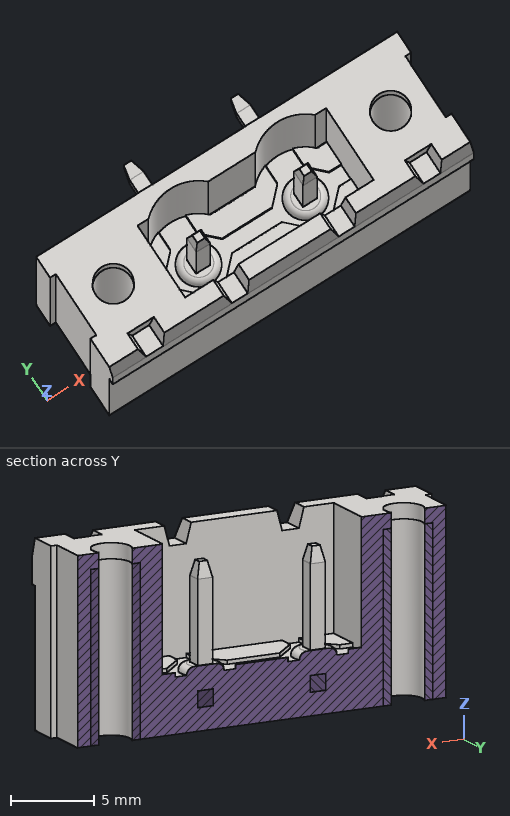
import cadquery as cq
import math

WIDTH = 25.82
HEIGHT = 12.0
BACK_Y = 8.52
FRONT_Y = 0.4

LIP_HEIGHT = 3.0
BEVEL_HEIGHT = 1.3

SIDE_CHANNEL_DEPTH = 0.41
SIDE_CHANNEL_FRONT_Y = 2.48
SIDE_CHANNEL_BACK_Y = 6.97

AXIS_Y = 4.6
PIN_X = 3.82
MOUNT_X = 9.91

POCKET_HALF_WIDTH = 6.75
POCKET_FRONT_Y = 1.55
POCKET_BACK_Y = 6.85
LOBE_RADIUS = 3.1
FLOOR_Z = 3.61

PAD_HEIGHT = 0.25
PAD_BACK_GAP = 0.08
DIAMOND_HALF_DIAGONAL = 2.58
CROSS_CHANNEL_WIDTH = 1.08
REAR_CHANNEL_WIDTH = 1.94

BOSS_DIAMETER = 2.8
BOSS_HEIGHT = 0.5

NOTCH_DEPTH = BEVEL_HEIGHT
PIN_NOTCH_TOP = 1.8
PIN_NOTCH_BOTTOM = 1.14
MOUNT_NOTCH_TOP = 1.88
MOUNT_NOTCH_BOTTOM = 1.21

PIN_SIZE = 1.0
PIN_TIP_SIZE = 0.55
PIN_TAPER = 1.0
PIN_TOP_Z = 10.5
PIN_TAIL_Y = 12.5
PIN_TAIL_Z = 2.01

BORE_DIAMETER = 2.5
INSERT_DIAMETER = 3.5
INSERT_TOP_Z = HEIGHT - 1.0


def box(x_min, x_max, y_min, y_max, z_min, z_max):
    """Box between two opposite corners."""
    size = (x_max - x_min, y_max - y_min, z_max - z_min)
    return cq.Workplane("XY").box(*size, centered=False).translate((x_min, y_min, z_min))


def cylinder(x, diameter, z_min, z_max):
    """Upright cylinder on the row of contact and mounting centres."""
    base = cq.Workplane("XY", origin=(x, AXIS_Y, z_min))
    return base.circle(diameter / 2).extrude(z_max - z_min)


def make_block():
    """Solid block with the bevelled lip and the two end channels."""
    side_outline = [
        (FRONT_Y, 0),
        (FRONT_Y, HEIGHT - LIP_HEIGHT),
        (0, HEIGHT - LIP_HEIGHT),
        (0, HEIGHT - BEVEL_HEIGHT),
        (FRONT_Y, HEIGHT),
        (BACK_Y, HEIGHT),
        (BACK_Y, 0),
    ]
    block = cq.Workplane("YZ").polyline(side_outline).close().extrude(WIDTH / 2, both=True)
    channel_length = SIDE_CHANNEL_BACK_Y - SIDE_CHANNEL_FRONT_Y
    channel_centre_y = (SIDE_CHANNEL_BACK_Y + SIDE_CHANNEL_FRONT_Y) / 2
    for x in (-WIDTH / 2, WIDTH / 2):
        channel = cq.Workplane("XY", origin=(x, channel_centre_y, 0))
        block = block.cut(channel.rect(2 * SIDE_CHANNEL_DEPTH, channel_length).extrude(HEIGHT))
    return block


def pocket_prism(back_y, z_min, z_max):
    """Pocket-shaped prism: a rectangle with a round lobe behind each pin."""
    half_chord = math.sqrt(LOBE_RADIUS**2 - (back_y - AXIS_Y) ** 2)
    lobe_top_y = AXIS_Y + LOBE_RADIUS
    outline = (
        cq.Workplane("XY", origin=(0, 0, z_min))
        .moveTo(-POCKET_HALF_WIDTH, POCKET_FRONT_Y)
        .lineTo(-POCKET_HALF_WIDTH, back_y)
    )
    for x in (-PIN_X, PIN_X):
        outline = outline.lineTo(x - half_chord, back_y)
        outline = outline.threePointArc((x, lobe_top_y), (x + half_chord, back_y))
    outline = outline.lineTo(POCKET_HALF_WIDTH, back_y).lineTo(POCKET_HALF_WIDTH, POCKET_FRONT_Y)
    return outline.close().extrude(z_max - z_min)


def make_floor_pads():
    """Pads covering the pocket floor except for the channels around and between the pins."""
    z_range = (FLOOR_Z, FLOOR_Z + PAD_HEIGHT)
    half_cross = CROSS_CHANNEL_WIDTH / 2
    half_rear = REAR_CHANNEL_WIDTH / 2
    half_front = PIN_NOTCH_BOTTOM / 2
    pads = pocket_prism(POCKET_BACK_Y - PAD_BACK_GAP, *z_range)
    pads = pads.cut(
        box(-POCKET_HALF_WIDTH, POCKET_HALF_WIDTH, AXIS_Y - half_cross, AXIS_Y + half_cross, *z_range)
    )
    diamond_side = DIAMOND_HALF_DIAGONAL * math.sqrt(2)
    for x in (-PIN_X, PIN_X):
        diamond = cq.Workplane("XY").rect(diamond_side, diamond_side).extrude(PAD_HEIGHT)
        diamond = diamond.rotate((0, 0, 0), (0, 0, 1), 45).translate((x, AXIS_Y, FLOOR_Z))
        pads = pads.cut(diamond)
        pads = pads.cut(box(x - half_rear, x + half_rear, AXIS_Y, BACK_Y, *z_range))
        pads = pads.cut(box(x - half_front, x + half_front, POCKET_FRONT_Y, AXIS_Y, *z_range))
    return pads


def make_boss(x):
    """Round boss on the pocket floor with a rounded upper edge."""
    outer = BOSS_DIAMETER / 2
    flat = outer - BOSS_HEIGHT
    middle = BOSS_HEIGHT * math.sqrt(0.5)
    profile = (
        cq.Workplane("XZ")
        .lineTo(outer, 0)
        .threePointArc((flat + middle, middle), (flat, BOSS_HEIGHT))
        .lineTo(0, BOSS_HEIGHT)
        .close()
    )
    return profile.revolve(360, (0, 0, 0), (0, 1, 0)).translate((x, AXIS_Y, FLOOR_Z))


def make_notch(x, top_width, bottom_width):
    """Tapered notch through the lip and the front wall, open at the top."""
    bottom_z = HEIGHT - NOTCH_DEPTH
    outline = [
        (x - top_width / 2, HEIGHT),
        (x - bottom_width / 2, bottom_z),
        (x + bottom_width / 2, bottom_z),
        (x + top_width / 2, HEIGHT),
    ]
    return cq.Workplane("XZ").polyline(outline).close().extrude(-POCKET_FRONT_Y)


def tapered_tip(plane):
    """Square taper from the full pin size to the tip size, along the plane's normal."""
    base = cq.Workplane(plane).rect(PIN_SIZE, PIN_SIZE)
    return base.workplane(offset=PIN_TAPER).rect(PIN_TIP_SIZE, PIN_TIP_SIZE).loft()


def make_pin(x):
    """Right-angle square pin: contact pointing up, solder tail pointing back, both tapered."""
    half = PIN_SIZE / 2
    contact_end_z = PIN_TOP_Z - PIN_TAPER
    tail_end_y = PIN_TAIL_Y - PIN_TAPER
    bottom_z = PIN_TAIL_Z - half
    contact = box(x - half, x + half, AXIS_Y - half, AXIS_Y + half, bottom_z, contact_end_z)
    tail = box(x - half, x + half, AXIS_Y - half, tail_end_y, bottom_z, PIN_TAIL_Z + half)
    contact_tip = tapered_tip(cq.Plane((x, AXIS_Y, contact_end_z), (1, 0, 0), (0, 0, 1)))
    tail_tip = tapered_tip(cq.Plane((x, tail_end_y, PIN_TAIL_Z), (1, 0, 0), (0, 1, 0)))
    return contact.union(tail).union(contact_tip).union(tail_tip)


def make_insert(x):
    """Round sleeve in the lower part of a mounting hole, with the same bore as the hole."""
    sleeve = cylinder(x, INSERT_DIAMETER, 0, INSERT_TOP_Z)
    return sleeve.cut(cylinder(x, BORE_DIAMETER, 0, INSERT_TOP_Z))


def make_housing(pins):
    """Housing with the pocket, notches, mounting holes and a matching hole for each pin."""
    housing = make_block().cut(pocket_prism(POCKET_BACK_Y, FLOOR_Z, HEIGHT))
    housing = housing.union(make_floor_pads())
    for x in (-PIN_X, PIN_X):
        housing = housing.union(make_boss(x))
        housing = housing.cut(make_notch(x, PIN_NOTCH_TOP, PIN_NOTCH_BOTTOM))
    for x in (-MOUNT_X, MOUNT_X):
        housing = housing.cut(make_notch(x, MOUNT_NOTCH_TOP, MOUNT_NOTCH_BOTTOM))
        housing = housing.cut(cylinder(x, BORE_DIAMETER, 0, HEIGHT))
        housing = housing.cut(cylinder(x, INSERT_DIAMETER, 0, INSERT_TOP_Z))
    for pin in pins:
        housing = housing.cut(pin)
    return housing


pins = [make_pin(x) for x in (-PIN_X, PIN_X)]
inserts = [make_insert(x) for x in (-MOUNT_X, MOUNT_X)]
housing = make_housing(pins)

bodies = [housing, *pins, *inserts]

result = cq.Compound.makeCompound([body.solids().val() for body in bodies])